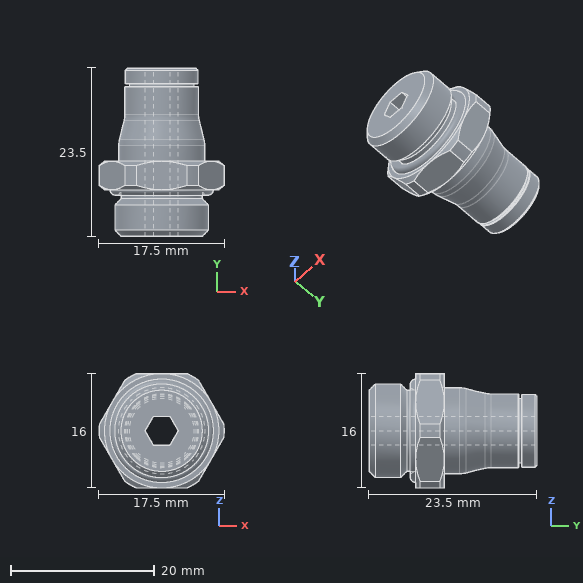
import cadquery as cq
import math

length = 23.5
thread_radius = 6.55
thread_end_chamfer = 0.87
neck_radius = 5.69
seal_radius = 7.24
body_radius = 6.05
sleeve_radius = 5.17
groove_radius = 4.54
cap_radius = 5.1
cap_chamfer = 0.3
groove_edge_chamfer = 0.1

thread_end = 4.4
thread_back_end = thread_end + thread_radius - neck_radius
hexagon_start = 6.5
hexagon_end = 10.5
body_end = 12.67
sleeve_start = 17.04
groove_start = 20.95
groove_end = 21.3

blend_radius = 3.52

hexagon_flats = 16.0
hexagon_round_radius = 17.5 / 2
hexagon_chamfer_height = 0.6
socket_flats = 4.0


def hexagonal_prism(flats, start, end):
    """Prism along +Y with two corners on the X axis."""
    corner_diameter = flats / math.cos(math.pi / 6)
    return (
        cq.Workplane("XZ", origin=(0, start, 0))
        .polygon(6, corner_diameter)
        .extrude(start - end)
    )


def revolve_about_y(profile):
    return profile.close().revolve(360, (0, 0, 0), (0, 1, 0))


def taper_angle():
    """Angle from the Y axis of the straight line tangent to both blend arcs."""
    axial = sleeve_start - body_end
    drop = body_radius - sleeve_radius
    leading = 4 * blend_radius - drop
    half_tangent = (axial - math.sqrt(axial**2 - drop * leading)) / leading
    return 2 * math.atan(half_tangent)


def blend_offset(angle):
    """Radial and axial travel along a blend arc from its cylinder."""
    return blend_radius * (1 - math.cos(angle)), blend_radius * math.sin(angle)


def turned_body():
    angle = taper_angle()
    mid_radial, mid_axial = blend_offset(angle / 2)
    full_radial, full_axial = blend_offset(angle)
    profile = (
        cq.Workplane("XY")
        .moveTo(0, 0)
        .lineTo(thread_radius - thread_end_chamfer, 0)
        .lineTo(thread_radius, thread_end_chamfer)
        .lineTo(thread_radius, thread_end)
        .lineTo(neck_radius, thread_back_end)
        .lineTo(neck_radius, hexagon_start)
        .lineTo(body_radius, hexagon_start)
        .lineTo(body_radius, body_end)
        .threePointArc(
            (body_radius - mid_radial, body_end + mid_axial),
            (body_radius - full_radial, body_end + full_axial),
        )
        .lineTo(sleeve_radius + full_radial, sleeve_start - full_axial)
        .threePointArc(
            (sleeve_radius + mid_radial, sleeve_start - mid_axial),
            (sleeve_radius, sleeve_start),
        )
        .lineTo(sleeve_radius, groove_start - groove_edge_chamfer)
        .lineTo(sleeve_radius - groove_edge_chamfer, groove_start)
        .lineTo(groove_radius, groove_start)
        .lineTo(groove_radius, groove_end)
        .lineTo(cap_radius - groove_edge_chamfer, groove_end)
        .lineTo(cap_radius, groove_end + groove_edge_chamfer)
        .lineTo(cap_radius, length - cap_chamfer)
        .lineTo(cap_radius - cap_chamfer, length)
        .lineTo(0, length)
    )
    return revolve_about_y(profile)


def seal_ring():
    """O-ring half sunk into the hexagon face, its inner side resting on the neck."""
    section_radius = (seal_radius - neck_radius) / 2
    return (
        cq.Workplane("XY")
        .center(neck_radius + section_radius, hexagon_start)
        .circle(section_radius)
        .revolve(360, (-neck_radius - section_radius, 0, 0), (-neck_radius - section_radius, 1, 0))
    )


def wrench_hexagon():
    face_radius = hexagon_flats / 2
    envelope = revolve_about_y(
        cq.Workplane("XY")
        .moveTo(0, hexagon_start)
        .lineTo(face_radius, hexagon_start)
        .lineTo(hexagon_round_radius, hexagon_start + hexagon_chamfer_height)
        .lineTo(hexagon_round_radius, hexagon_end - hexagon_chamfer_height)
        .lineTo(face_radius, hexagon_end)
        .lineTo(0, hexagon_end)
    )
    return hexagonal_prism(hexagon_flats, hexagon_start, hexagon_end).intersect(envelope)


socket = hexagonal_prism(socket_flats, 0, length)
result = turned_body().union(seal_ring()).union(wrench_hexagon()).cut(socket)